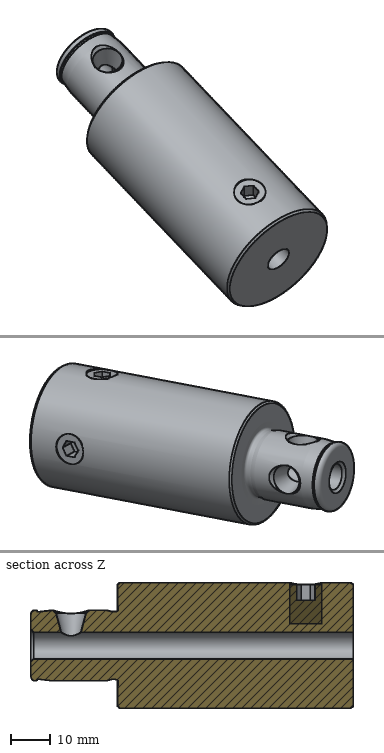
import cadquery as cq
import math

total_length = 82.0
spigot_length = 22.05
body_radius = 16.0
front_chamfer = 0.5
rear_chamfer_length = 0.65
rear_chamfer_height = 0.4

spigot_radius = 9.0
lip_round = 1.15
groove_start = 1.7
lip_edge_radius = 8.85
groove_end = 2.3
groove_radius = 8.6
taper_start = 2.55
taper_start_radius = 8.7
taper_end = 5.5

relief_start = 19.3
relief_floor_start = 20.6
relief_floor_end = 21.6
relief_radius = 8.7
relief_round = 0.65
dish_radius = 10.75

bore_radius = 3.4
bore_mouth_radius = 4.1
bore_chamfer = 0.7

cross_hole_x = 10.25
cross_hole_radius = 3.8
cross_hole_rim_radius = 4.7
cross_hole_cone_angle = 30

screw_x = 69.95
screw_radius = 4.0
screw_length = 10.0
screw_top = 15.6
screw_bottom = screw_top - screw_length
hex_across_flats = 4.0
hex_depth = 4.0

radial_angles = [0, -90]


def turned_body():
    """Revolve the outer profile about X."""
    relief_angle = math.radians(82)
    dish_start = (
        relief_floor_end + relief_round * math.sin(relief_angle),
        relief_radius + relief_round * (1 - math.cos(relief_angle)),
    )
    relief_mid = (
        relief_floor_end + relief_round * math.sin(relief_angle / 2),
        relief_radius + relief_round * (1 - math.cos(relief_angle / 2)),
    )
    return (
        cq.Workplane("XY")
        .moveTo(0, 0)
        .lineTo(0, spigot_radius - lip_round)
        .threePointArc((lip_round, spigot_radius), (groove_start, lip_edge_radius))
        .lineTo(groove_start, groove_radius)
        .lineTo(groove_end, groove_radius)
        .lineTo(taper_start, taper_start_radius)
        .lineTo(taper_end, spigot_radius)
        .lineTo(relief_start, spigot_radius)
        .lineTo(relief_floor_start, relief_radius)
        .lineTo(relief_floor_end, relief_radius)
        .threePointArc(relief_mid, dish_start)
        .lineTo(spigot_length, dish_radius)
        .lineTo(spigot_length, body_radius - front_chamfer)
        .lineTo(spigot_length + front_chamfer, body_radius)
        .lineTo(total_length - rear_chamfer_length, body_radius)
        .lineTo(total_length, body_radius - rear_chamfer_height)
        .lineTo(total_length, 0)
        .close()
        .revolve(360, (0, 0, 0), (1, 0, 0))
    )


def bore_cutter():
    """Through bore with a chamfered mouth in the spigot face."""
    return (
        cq.Workplane("XY")
        .moveTo(0, 0)
        .lineTo(0, bore_mouth_radius)
        .lineTo(bore_chamfer, bore_radius)
        .lineTo(total_length, bore_radius)
        .lineTo(total_length, 0)
        .close()
        .revolve(360, (0, 0, 0), (1, 0, 0))
    )


def cross_hole_cutter():
    """Tapered hole from the top of the spigot into the bore, with a wider conical rim."""
    wall_top = math.sqrt(spigot_radius**2 - cross_hole_radius**2)
    inner_radius = cross_hole_radius - wall_top * math.tan(math.radians(cross_hole_cone_angle / 2))
    return (
        cq.Workplane("XZ")
        .moveTo(cross_hole_x, 0)
        .lineTo(cross_hole_x + inner_radius, 0)
        .lineTo(cross_hole_x + cross_hole_radius, wall_top)
        .lineTo(cross_hole_x + cross_hole_rim_radius, spigot_radius)
        .lineTo(cross_hole_x, spigot_radius)
        .close()
        .revolve(360, (cross_hole_x, 0, 0), (cross_hole_x, 1, 0))
    )


def screw_hole_cutter():
    """Blind hole that holds a set screw."""
    return (
        cq.Workplane("XY", origin=(screw_x, 0, screw_bottom))
        .circle(screw_radius)
        .extrude(body_radius - screw_bottom)
    )


def turned_about_axis(shape, angle):
    return shape.rotate((0, 0, 0), (1, 0, 0), angle)


def make_body():
    body = turned_body().cut(bore_cutter())
    for angle in radial_angles:
        body = body.cut(turned_about_axis(cross_hole_cutter(), angle))
        body = body.cut(turned_about_axis(screw_hole_cutter(), angle))
    return body


def make_set_screw(angle):
    """Headless screw with a hexagon socket."""
    hex_corner_diameter = hex_across_flats / math.cos(math.pi / 6)
    screw = (
        cq.Workplane("XY", origin=(screw_x, 0, screw_bottom))
        .circle(screw_radius)
        .extrude(screw_length)
    )
    socket = (
        cq.Workplane("XY", origin=(screw_x, 0, screw_top))
        .polygon(6, hex_corner_diameter)
        .extrude(-hex_depth)
    )
    return turned_about_axis(screw.cut(socket), angle)


body = make_body()
set_screws = [make_set_screw(angle) for angle in radial_angles]
result = cq.Compound.makeCompound([body.val(), *[screw.val() for screw in set_screws]])